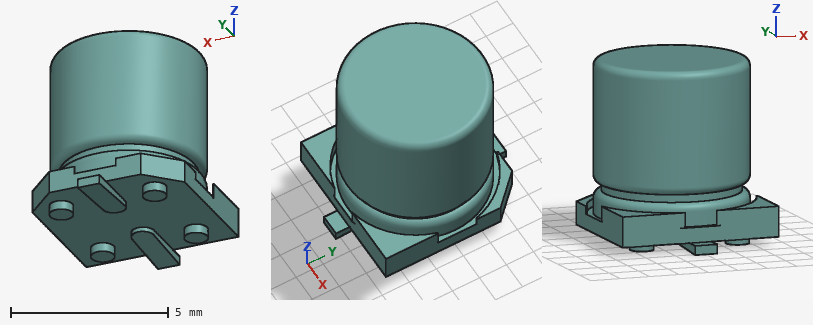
import cadquery as cq

base_width = 5.3
overall_length = 6.3
overall_height = 5.8

standoff = 0.3
seat_z = 0.8
high_post_z = 1.3
low_post_z = 1.05
rear_chamfer = 1.06
seat_radius = 2.7
notch_width = 1.435

can_radius = 2.5
roll_radius = 0.25
neck_bottom_z = 1.55
neck_height = 0.25

foot_radius = 0.385
foot_offset = 1.625
lead_width = 0.755
lead_inner_y = 0.755
lead_inner_thickness = 0.15


def make_base():
    """Square plate with chamfered rear corners, low rear posts and a notched round seat."""
    half_width = base_width / 2
    plate = (
        cq.Workplane("XY")
        .workplane(offset=standoff)
        .rect(base_width, base_width)
        .extrude(high_post_z - standoff)
        .edges("|Z and >Y")
        .chamfer(rear_chamfer)
    )
    rear_step = (
        cq.Workplane("XY")
        .workplane(offset=low_post_z)
        .center(0, half_width / 2)
        .rect(base_width, half_width)
        .extrude(high_post_z - low_post_z)
    )
    seat = (
        cq.Workplane("XY")
        .workplane(offset=seat_z)
        .circle(seat_radius)
        .extrude(high_post_z - seat_z)
    )
    side_notches = (
        cq.Workplane("XY")
        .workplane(offset=seat_z)
        .rect(base_width, notch_width)
        .extrude(high_post_z - seat_z)
    )
    rear_notch = (
        cq.Workplane("XY")
        .workplane(offset=seat_z)
        .center(0, half_width / 2)
        .rect(notch_width, half_width)
        .extrude(high_post_z - seat_z)
    )
    return plate.cut(rear_step).cut(seat).cut(side_notches).cut(rear_notch)


def make_can():
    """Revolved can with a necked groove and rolled edges."""
    neck_radius = can_radius - roll_radius
    neck_top_z = neck_bottom_z + neck_height
    profile = (
        cq.Workplane("XZ")
        .moveTo(0, seat_z)
        .lineTo(can_radius, seat_z)
        .lineTo(can_radius, neck_bottom_z - roll_radius)
        .radiusArc((neck_radius, neck_bottom_z), -roll_radius)
        .lineTo(neck_radius, neck_top_z)
        .radiusArc((can_radius, neck_top_z + roll_radius), -roll_radius)
        .lineTo(can_radius, overall_height - roll_radius)
        .radiusArc((neck_radius, overall_height), -roll_radius)
        .lineTo(0, overall_height)
        .close()
    )
    return profile.revolve(360, (0, 0, 0), (0, 1, 0))


def make_feet():
    """Four round feet under the base."""
    return (
        cq.Workplane("XY")
        .rect(2 * foot_offset, 2 * foot_offset, forConstruction=True)
        .vertices()
        .circle(foot_radius)
        .extrude(standoff)
    )


def make_lead():
    """Rear lead, thinning towards its rounded inner end."""
    outer_y = overall_length / 2
    half_width = lead_width / 2
    shoulder_y = lead_inner_y + half_width
    outline = (
        cq.Workplane("XY")
        .moveTo(-half_width, outer_y)
        .lineTo(-half_width, shoulder_y)
        .threePointArc((0, lead_inner_y), (half_width, shoulder_y))
        .lineTo(half_width, outer_y)
        .close()
        .extrude(standoff)
    )
    side_profile = (
        cq.Workplane("YZ")
        .polyline([
            (outer_y, 0),
            (outer_y, standoff),
            (lead_inner_y, standoff),
            (lead_inner_y, standoff - lead_inner_thickness),
        ])
        .close()
        .extrude(half_width, both=True)
    )
    return outline.intersect(side_profile)


rear_lead = make_lead()
front_lead = rear_lead.mirror("XZ")
result = make_base().union(make_can()).union(make_feet()).union(rear_lead).union(front_lead)